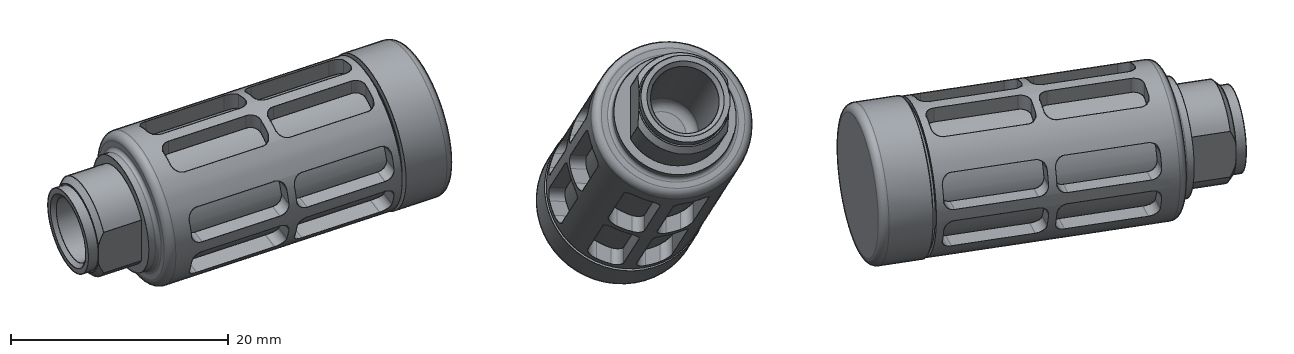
import cadquery as cq

TIP_END = 1.0
CONE_END = 1.55
NECK_END = 5.43
FLANGE_EDGE = 6.1
BODY_START = 6.5
BODY_END = 30.55
GROOVE_CONE_END = 30.75
CAP_START = 30.9
TOTAL_LENGTH = 35.9

TIP_DIA = 8.3
CONE_SMALL_DIA = 8.6
NECK_DIA = 9.7
FLANGE_DIA = 11.4
BODY_DIA = 15.0
GROOVE_DIA = 13.6
GROOVE_CONE_DIA = 14.2
CAP_DIA = 15.2

FLANGE_ROOT_RADIUS = BODY_START - FLANGE_EDGE
BODY_EDGE_RADIUS = 0.8
CAP_EDGE_RADIUS = 0.8

ACROSS_FLATS = 8.36

BORE_DIA = 6.4
BORE_DEPTH = 12.0
BORE_MOUTH_CHAMFER = 0.4
BORE_FLOOR_RADIUS = 1.0

POCKET_LENGTH = 10.0
POCKET_WIDTH = 3.36
POCKET_CORNER_RADIUS = 1.0
POCKET_FLOOR_DIA = 12.0
PAIR_GAP = 1.2
ROW_GAP = 0.8
FIRST_ROW_START = 9.0
ROW_COUNT = 2
SIDE_COUNT = 4


def revolve_about_y(profile):
    """Close a half profile and revolve it about the part axis."""
    return profile.close().revolve(360, (0, 0, 0), (0, 1, 0))


def make_outside():
    """Revolved silhouette of spigot, flange, body, groove and cap."""
    tip_r = TIP_DIA / 2
    neck_r = NECK_DIA / 2
    flange_r = FLANGE_DIA / 2
    body_r = BODY_DIA / 2
    groove_r = GROOVE_DIA / 2
    cap_r = CAP_DIA / 2
    profile = (
        cq.Workplane("XY")
        .lineTo(tip_r, 0)
        .lineTo(tip_r, TIP_END)
        .lineTo(CONE_SMALL_DIA / 2, TIP_END)
        .lineTo(neck_r, CONE_END)
        .lineTo(neck_r, NECK_END)
        .lineTo(flange_r, NECK_END)
        .lineTo(flange_r, FLANGE_EDGE)
        .radiusArc((flange_r + FLANGE_ROOT_RADIUS, BODY_START), FLANGE_ROOT_RADIUS)
        .lineTo(body_r - BODY_EDGE_RADIUS, BODY_START)
        .radiusArc((body_r, BODY_START + BODY_EDGE_RADIUS), -BODY_EDGE_RADIUS)
        .lineTo(body_r, BODY_END)
        .lineTo(GROOVE_CONE_DIA / 2, BODY_END)
        .lineTo(groove_r, GROOVE_CONE_END)
        .lineTo(groove_r, CAP_START)
        .lineTo(cap_r, CAP_START)
        .lineTo(cap_r, TOTAL_LENGTH - CAP_EDGE_RADIUS)
        .radiusArc((cap_r - CAP_EDGE_RADIUS, TOTAL_LENGTH), -CAP_EDGE_RADIUS)
        .lineTo(0, TOTAL_LENGTH)
    )
    return revolve_about_y(profile)


def make_flats_cutter():
    """Slabs that trim the two X sides of the neck to the across-flats size."""
    slab_size = (NECK_DIA, NECK_END, NECK_DIA)
    slab_offset = (ACROSS_FLATS + NECK_DIA) / 2
    slabs = cq.Workplane("XY")
    for side in (-1, 1):
        slab = cq.Workplane("XY").box(*slab_size)
        slabs = slabs.add(slab.translate((side * slab_offset, NECK_END / 2, 0)))
    return slabs.combine()


def make_bore():
    """Blind bore with a chamfered mouth and a rounded floor corner."""
    bore_r = BORE_DIA / 2
    profile = (
        cq.Workplane("XY")
        .lineTo(bore_r + BORE_MOUTH_CHAMFER, 0)
        .lineTo(bore_r, BORE_MOUTH_CHAMFER)
        .lineTo(bore_r, BORE_DEPTH - BORE_FLOOR_RADIUS)
        .radiusArc((bore_r - BORE_FLOOR_RADIUS, BORE_DEPTH), -BORE_FLOOR_RADIUS)
        .lineTo(0, BORE_DEPTH)
    )
    return revolve_about_y(profile)


def make_side_pockets():
    """Cutters for the pockets on the +Z side, with a cylindrical floor."""
    pitch_x = POCKET_WIDTH + PAIR_GAP
    pitch_y = POCKET_LENGTH + ROW_GAP
    centres = [
        (side * pitch_x / 2, FIRST_ROW_START + POCKET_LENGTH / 2 + row * pitch_y)
        for side in (-1, 1)
        for row in range(ROW_COUNT)
    ]
    blocks = (
        cq.Workplane("XY")
        .pushPoints(centres)
        .rect(POCKET_WIDTH, POCKET_LENGTH)
        .extrude(BODY_DIA)
        .edges("|Z")
        .fillet(POCKET_CORNER_RADIUS)
    )
    core = cq.Workplane("XZ").circle(POCKET_FLOOR_DIA / 2).extrude(-TOTAL_LENGTH)
    return blocks.cut(core)


result = make_outside().cut(make_flats_cutter()).cut(make_bore())
side_pockets = make_side_pockets()
for index in range(SIDE_COUNT):
    turn = index * 360 / SIDE_COUNT
    result = result.cut(side_pockets.rotate((0, 0, 0), (0, 1, 0), turn))